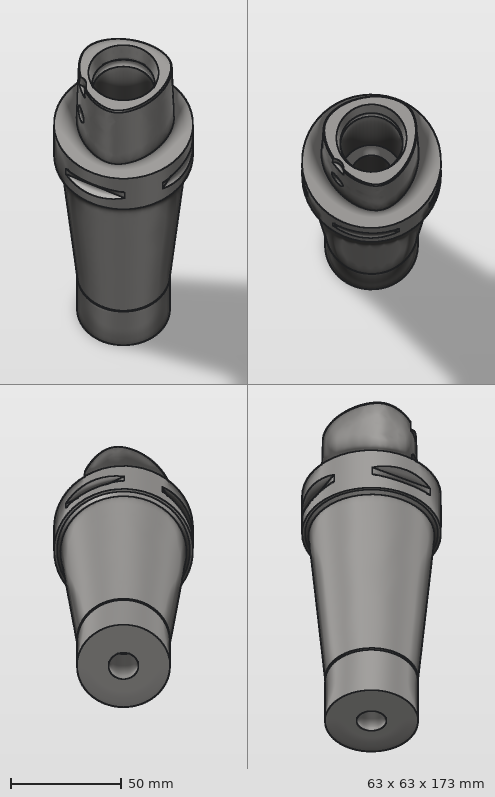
import cadquery as cq
import math

TOTAL_HEIGHT = 173.0
FLANGE_TOP = 135.5
FLANGE_BOTTOM = 113.0
BODY_TOP = 111.4
BODY_BOTTOM = 25.5
NUT_TOP = 24.4

FLANGE_RADIUS = 31.5
COLLAR_RADIUS = 30.1
BODY_TOP_RADIUS = 28.5
BODY_BOTTOM_RADIUS = 21.1
NECK_RADIUS = 16.6

SHANK_RADIUS = 22.1
LOBE_HEIGHT = 1.33
SHANK_TAPER = 1 / 40
SHANK_CHAMFER_HEIGHT = 1.0
SHANK_CHAMFER_WIDTH = 0.5

BORE_RADIUS = 14.2
MOUTH_RADIUS = 16.0
LEAD_IN_DEPTH = 6.5
GROOVE_START_DEPTH = 8.1
GROOVE_END_DEPTH = 13.5
GROOVE_RADIUS = 18.0
BORE_FLOOR = FLANGE_BOTTOM
CHANNEL_RADIUS = 9.3
THROAT_TOP = 51.9
THROAT_RADIUS = 7.6

NOTCH_RADIUS = 5.0
NOTCH_DEPTH = 5.9
NOTCH_AXIS_Y = -22.8
SIDE_HOLE_RADIUS = 4.0
SIDE_HOLE_Z = 150.5
SIDE_HOLE_FLOOR_Y = -16.0

SLOT_COUNT = 4
SLOT_Z = 123.2
SLOT_FLOOR_DISTANCE = 27.7
SLOT_FLOOR_HEIGHT = 4.0
SLOT_MOUTH_HEIGHT = 8.1

NUT_RADIUS = 21.1
NUT_BORE_RADIUS = 6.7
NUT_BEVEL_WIDTH = 0.2
NUT_BEVEL_HEIGHT = 1.7


def revolve_outline(points):
    """Revolve a closed (radius, height) outline about the Z axis."""
    return cq.Workplane("XZ").polyline(points).close().revolve(360, (0, 0), (0, 1))


def lobed_profile(z, mean_radius):
    """Closed constant-width curve with three lobes, one of them pointing to +Y."""

    def point(turn):
        angle = 2 * math.pi * turn
        reach = mean_radius - LOBE_HEIGHT * math.sin(3 * angle)
        slope = -3 * LOBE_HEIGHT * math.cos(3 * angle)
        x = reach * math.cos(angle) - slope * math.sin(angle)
        y = reach * math.sin(angle) + slope * math.cos(angle)
        return cq.Vector(x, y, z)

    samples = 48
    curve = cq.Edge.makeSpline([point(i / samples) for i in range(samples)], periodic=True)
    return cq.Wire.assembleEdges([curve])


def make_shank():
    chamfer_z = TOTAL_HEIGHT - SHANK_CHAMFER_HEIGHT
    upper_radius = SHANK_RADIUS - SHANK_TAPER * (chamfer_z - FLANGE_TOP)
    rim_radius = upper_radius - SHANK_CHAMFER_WIDTH
    base = lobed_profile(FLANGE_TOP, SHANK_RADIUS)
    shoulder = lobed_profile(chamfer_z, upper_radius)
    rim = lobed_profile(TOTAL_HEIGHT, rim_radius)
    taper = cq.Workplane(obj=cq.Solid.makeLoft([base, shoulder], True))
    chamfer = cq.Workplane(obj=cq.Solid.makeLoft([shoulder, rim], True))
    return taper.union(chamfer)


def make_round_body():
    """Flange, collar, tapered body and neck."""
    return revolve_outline([
        (0, FLANGE_TOP),
        (FLANGE_RADIUS, FLANGE_TOP),
        (FLANGE_RADIUS, FLANGE_BOTTOM),
        (COLLAR_RADIUS, FLANGE_BOTTOM),
        (BODY_TOP_RADIUS, BODY_TOP),
        (BODY_BOTTOM_RADIUS, BODY_BOTTOM),
        (NECK_RADIUS, BODY_BOTTOM),
        (NECK_RADIUS, NUT_TOP),
        (0, NUT_TOP),
    ])


def make_bore():
    """Stepped bore through the whole holder."""
    groove_top = TOTAL_HEIGHT - GROOVE_START_DEPTH
    groove_bottom = TOTAL_HEIGHT - GROOVE_END_DEPTH
    return revolve_outline([
        (0, TOTAL_HEIGHT),
        (MOUTH_RADIUS, TOTAL_HEIGHT),
        (BORE_RADIUS, TOTAL_HEIGHT - LEAD_IN_DEPTH),
        (BORE_RADIUS, groove_top),
        (GROOVE_RADIUS, groove_top),
        (GROOVE_RADIUS, groove_bottom),
        (BORE_RADIUS, groove_bottom),
        (BORE_RADIUS, BORE_FLOOR),
        (CHANNEL_RADIUS, BORE_FLOOR),
        (CHANNEL_RADIUS, THROAT_TOP),
        (THROAT_RADIUS, THROAT_TOP),
        (THROAT_RADIUS, NUT_TOP),
        (0, NUT_TOP),
    ])


def make_notch():
    return (
        cq.Workplane("XY", origin=(0, NOTCH_AXIS_Y, TOTAL_HEIGHT - NOTCH_DEPTH))
        .circle(NOTCH_RADIUS)
        .extrude(NOTCH_DEPTH)
    )


def make_side_hole():
    return (
        cq.Workplane("XZ", origin=(0, SIDE_HOLE_FLOOR_Y, SIDE_HOLE_Z))
        .circle(SIDE_HOLE_RADIUS)
        .extrude(FLANGE_RADIUS)
    )


def make_gripper_slot(angle):
    """Straight slot with a flat floor and flared sides, cut into the flange at one angle."""
    half_floor = SLOT_FLOOR_HEIGHT / 2
    half_mouth = SLOT_MOUTH_HEIGHT / 2
    section = [
        (SLOT_FLOOR_DISTANCE, SLOT_Z - half_floor),
        (FLANGE_RADIUS, SLOT_Z - half_mouth),
        (FLANGE_RADIUS, SLOT_Z + half_mouth),
        (SLOT_FLOOR_DISTANCE, SLOT_Z + half_floor),
    ]
    slot = cq.Workplane("XZ").polyline(section).close().extrude(FLANGE_RADIUS, both=True)
    return slot.rotate((0, 0, 0), (0, 0, 1), angle)


def make_holder():
    holder = make_round_body().union(make_shank())
    holder = holder.cut(make_bore()).cut(make_notch()).cut(make_side_hole())
    pitch = 360 / SLOT_COUNT
    for index in range(SLOT_COUNT):
        holder = holder.cut(make_gripper_slot((index + 0.5) * pitch))
    return holder


def make_nut():
    """Round nut seated against the neck, with a slight bevel on its upper rim."""
    return revolve_outline([
        (NUT_BORE_RADIUS, 0),
        (NUT_RADIUS, 0),
        (NUT_RADIUS, NUT_TOP - NUT_BEVEL_HEIGHT),
        (NUT_RADIUS - NUT_BEVEL_WIDTH, NUT_TOP),
        (NUT_BORE_RADIUS, NUT_TOP),
    ])


holder = make_holder().solids()
nut = make_nut()
result = cq.Compound.makeCompound([holder.val(), nut.val()])